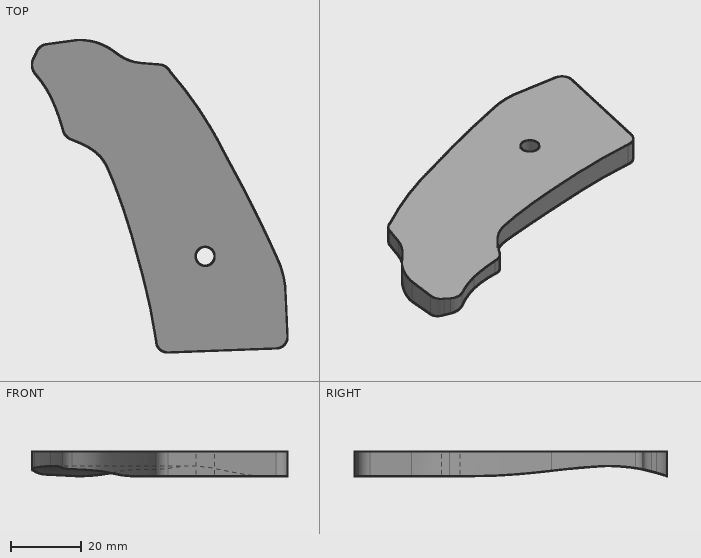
import cadquery as cq

length = 89.2
thickness = 7.1
cutter_margin = 4.5

hole_diameter = 5.35
hole_center = (49.4, 27.5)

relief_start = (33.9, 0.0)
relief_rise = (59.1, 1.9)
relief_crest = (71.3, 2.9)
relief_fall = (81.9, 2.05)
relief_end = (length, 0.0)


def make_plate():
    """Extrude the grip outline, drawn counter-clockwise from the butt."""
    outline = (
        cq.Workplane("XY")
        .moveTo(38.8, 0)
        .lineTo(69.55, 1.2)
        .threePointArc((72.0, 2.2), (72.9, 4.5))
        .lineTo(72.4, 16.2)
        .threePointArc((71.7, 22.2), (69.9, 27.1))
        .threePointArc((62.7, 42.3), (55.3, 56.3))
        .threePointArc((48.0, 68.9), (39.4, 80.15))
        .threePointArc((38.2, 81.6), (36.4, 82.2))
        .lineTo(30.8, 82.65)
        .threePointArc((27.7, 83.4), (25.0, 84.8))
        .lineTo(23.0, 86.2)
        .threePointArc((18.2, 88.5), (12.75, length))
        .lineTo(4.3, 88.0)
        .threePointArc((2.5, 87.3), (1.2, 85.4))
        .lineTo(0.4, 83.8)
        .threePointArc((0.0, 81.7), (0.8, 79.6))
        .threePointArc((3.3, 76.4), (5.35, 72.9))
        .threePointArc((7.2, 68.5), (8.7, 63.75))
        .threePointArc((9.6, 61.9), (11.5, 60.6))
        .spline([(15.6, 58.85), (19.9, 55.5), (22.4, 50.8), (30.4, 26.4), (33.4, 14.2), (35.4, 3.3)],
                includeCurrent=True)
        .threePointArc((36.5, 0.9), (38.8, 0))
        .close()
    )
    return outline.extrude(thickness)


def make_relief_cutter(width):
    """Smooth hollow running across the width, blending into the flat underside."""
    return (
        cq.Workplane("YZ", origin=(-cutter_margin, 0, 0))
        .moveTo(*relief_start)
        .spline([relief_rise, relief_crest, relief_fall, relief_end],
                tangents=[(1, 0), (1, -0.4)], includeCurrent=True)
        .lineTo(length, -cutter_margin)
        .lineTo(relief_start[0], -cutter_margin)
        .close()
        .extrude(width + 2 * cutter_margin)
    )


def make_screw_hole():
    return cq.Workplane("XY").center(*hole_center).circle(hole_diameter / 2).extrude(thickness)


plate = make_plate()
plate_width = plate.val().BoundingBox().xlen
result = plate.cut(make_relief_cutter(plate_width)).cut(make_screw_hole())